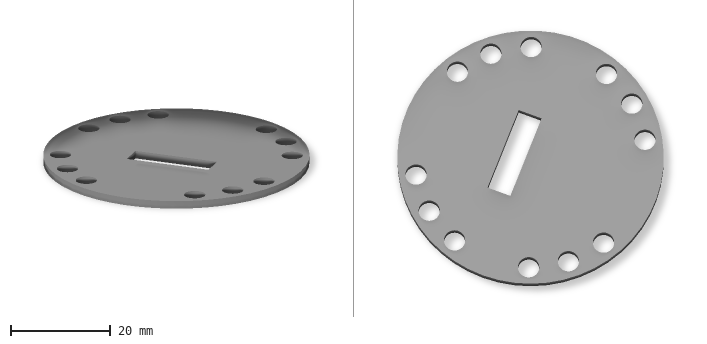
import cadquery as cq
import math

disc_diameter = 53.35
disc_thickness = 1.6

hole_diameter = 4.25
hole_circle_radius = 23.2
right_and_upper_angles = [-60, -40, -20, 20, 40, 60, 120, 140, 160]
lower_left_angles = [200.6, 220.9, 240]

window_length = 17.5
window_width = 4.9
window_center = (0.3, -3.3)


def point_on_hole_circle(angle):
    """Return the hole centre at the given angle in degrees."""
    radians = math.radians(angle)
    return (hole_circle_radius * math.cos(radians), hole_circle_radius * math.sin(radians))


hole_centers = [point_on_hole_circle(angle) for angle in right_and_upper_angles + lower_left_angles]

disc = cq.Workplane("XY").circle(disc_diameter / 2).extrude(disc_thickness)

rim_holes = cq.Workplane("XY").pushPoints(hole_centers).circle(hole_diameter / 2).extrude(disc_thickness)

window = (
    cq.Workplane("XY")
    .center(*window_center)
    .rect(window_length, window_width)
    .extrude(disc_thickness)
)

result = disc.cut(rim_holes).cut(window)